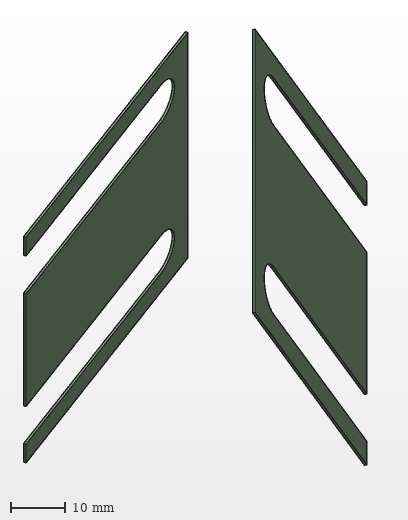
import cadquery as cq

side = 60.0
thickness = 0.5

slot_width = 10.0
slot_radius = slot_width / 2
slot_spacing = 40.0
end_wall = 5.0

slot_end_center_y = side / 2 - end_wall - slot_radius
slot_straight_length = slot_end_center_y + side / 2


def open_slot(center_z):
    """Cutter for one slot: a straight run from the -Y edge with a round inner end."""
    straight = (
        cq.Workplane("YZ")
        .center(slot_end_center_y - slot_straight_length / 2, center_z)
        .rect(slot_straight_length, slot_width)
        .extrude(thickness / 2, both=True)
    )
    round_end = (
        cq.Workplane("YZ")
        .center(slot_end_center_y, center_z)
        .circle(slot_radius)
        .extrude(thickness / 2, both=True)
    )
    return straight.union(round_end)


result = cq.Workplane("XY").box(thickness, side, side)
for center_z in (-slot_spacing / 2, slot_spacing / 2):
    result = result.cut(open_slot(center_z))